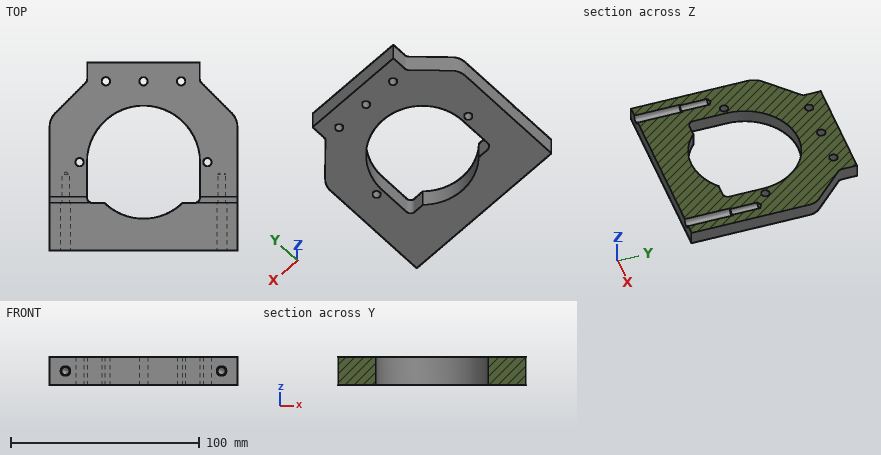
import cadquery as cq
import math

width = 100.0
length = 100.0
thickness = 15.0

tab_half_width = 30.0
tab_length = 10.0
tab_root_radius = 3.0
shoulder_radius = 10.0

bore_radius = 30.0
bore_y = 47.0
ledge_y = 25.3
ledge_corner_radius = 3.0

groove_width = 3.4
groove_depth = 0.2

hole_diameter = 4.3
tab_hole_spacing = 20.0
side_hole_x = 34.0

screw_hole_x = 41.5
clearance_diameter = 5.3
thread_diameter = 4.2
thread_length = 15.0
drill_point_angle = 118.0


def make_plate():
    half_width = width / 2
    tab_root_y = length - tab_length
    shoulder_y = tab_root_y - (half_width - tab_half_width)
    outline = [
        (-half_width, 0),
        (half_width, 0),
        (half_width, shoulder_y),
        (tab_half_width, tab_root_y),
        (tab_half_width, length),
        (-tab_half_width, length),
        (-tab_half_width, tab_root_y),
        (-half_width, shoulder_y),
    ]
    plate = cq.Workplane("XY").polyline(outline).close().extrude(thickness)

    def upright_edges_at(y):
        margin = 1.0
        low_corner = (-half_width - margin, y - margin, -margin)
        high_corner = (half_width + margin, y + margin, thickness + margin)
        return plate.edges("|Z").edges(cq.selectors.BoxSelector(low_corner, high_corner))

    plate = upright_edges_at(tab_root_y).fillet(tab_root_radius)
    plate = upright_edges_at(shoulder_y).fillet(shoulder_radius)
    return plate


def make_window():
    bore = cq.Workplane("XY").center(0, bore_y).circle(bore_radius).extrude(thickness)
    straight_length = bore_y - ledge_y
    straight_sides = (
        cq.Workplane("XY")
        .center(0, ledge_y + straight_length / 2)
        .rect(2 * bore_radius, straight_length)
        .extrude(thickness)
        .edges("|Z and <Y")
        .fillet(ledge_corner_radius)
    )
    return straight_sides.union(bore)


def make_groove():
    return (
        cq.Workplane("XY")
        .box(width, groove_width, groove_depth, centered=(True, False, False))
        .translate((0, ledge_y, thickness - groove_depth))
    )


def make_through_holes():
    tab_hole_y = length - tab_length
    centres = [(i * tab_hole_spacing, tab_hole_y) for i in (-1, 0, 1)]
    centres += [(side * side_hole_x, bore_y) for side in (-1, 1)]
    return cq.Workplane("XY").pushPoints(centres).circle(hole_diameter / 2).extrude(thickness)


def make_screw_hole(x):
    clearance_radius = clearance_diameter / 2
    thread_radius = thread_diameter / 2
    cone_slope = math.tan(math.radians(drill_point_angle / 2))
    thread_start_y = ledge_y + (clearance_radius - thread_radius) / cone_slope
    thread_end_y = thread_start_y + thread_length
    profile = [
        (0, 0),
        (clearance_radius, 0),
        (clearance_radius, ledge_y),
        (thread_radius, thread_start_y),
        (thread_radius, thread_end_y),
        (0, thread_end_y + thread_radius / cone_slope),
    ]
    hole = cq.Workplane("XY").polyline(profile).close().revolve(360, (0, 0), (0, 1))
    return hole.translate((x, 0, thickness / 2))


result = make_plate().cut(make_groove()).cut(make_window()).cut(make_through_holes())
for side in (-1, 1):
    result = result.cut(make_screw_hole(side * screw_hole_x))